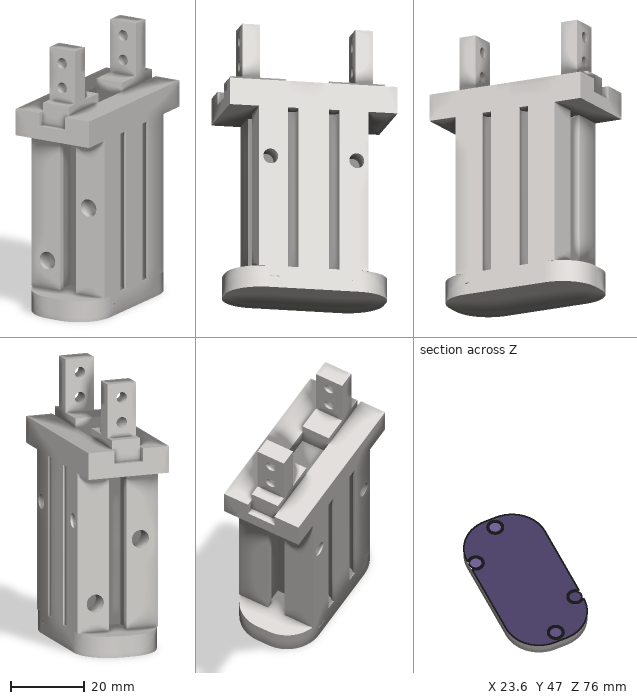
import cadquery as cq


plate_width = 23.6
plate_length = 45.0
plate_thickness = 3.0
plate_corner_radius = 10.0
plate_count = 2
base_height = plate_count * plate_thickness

screw_diameter = 2.5
screw_head_diameter = 3.7
countersink_diameter = 4.92
end_screw_y = 19.5
side_screw_x = 9.9
side_screw_y = 10.9
screw_positions = (
    (0, -end_screw_y),
    (0, end_screw_y),
    (-side_screw_x, side_screw_y),
    (side_screw_x, -side_screw_y),
)

body_width = plate_width
body_length = 30.6
body_height = 45.0
head_length = 47.0
head_height = 7.5
head_bottom = base_height + body_height
head_top = head_bottom + head_height

channel_width = 8.3
channel_depth = 3.75
channel_floor = head_top - channel_depth

t_slot_mouth_width = 5.2
t_slot_lip = 1.95
t_slot_inner_width = 6.6
t_slot_depth = 6.5

groove_y = 5.72
groove_mouth_width = 2.85
groove_radius = 2.4
groove_center_depth = 2.6

mount_hole_diameter = 4.15
mount_hole_depth = 6.0
mount_hole_y = 12.05
mount_hole_z = 37.0

port_diameter = 5.0
port_depth = 6.0
port_x = 6.6
lower_port_z = 14.0
upper_port_z = 31.0

jaw_inner_y = 6.05
jaw_length = 15.5
jaw_base_top = 61.0
finger_inner_y = 13.3
finger_thickness = 5.0
finger_top = 76.0
finger_hole_diameter = 3.0
finger_hole_heights = (65.0, 72.0)

SIDES = (-1, 1)


def box(width, length, height, x=0, y=0, z=0):
    """Block centred on x and y, with its underside at z."""
    return cq.Workplane("XY").box(width, length, height, centered=(True, True, False)).translate((x, y, z))


def upright_cylinder(diameter, height, x, y, z):
    return cq.Workplane("XY", origin=(x, y, z)).circle(diameter / 2).extrude(height)


def t_slot(side):
    """T-slot over the full body height, cut inwards from the end on the given Y side."""
    mouth_y = side * (body_length - t_slot_lip) / 2
    inner_depth = t_slot_depth - t_slot_lip
    inner_y = side * (body_length / 2 - t_slot_lip - inner_depth / 2)
    mouth = box(t_slot_mouth_width, t_slot_lip, body_height, y=mouth_y, z=base_height)
    inner = box(t_slot_inner_width, inner_depth, body_height, y=inner_y, z=base_height)
    return mouth.union(inner)


def sensor_groove(side, y):
    """Round groove with a narrower mouth, over the full body height, on the given X side."""
    mouth_x = side * (body_width - groove_center_depth) / 2
    bore_x = side * (body_width / 2 - groove_center_depth)
    mouth = box(groove_center_depth, groove_mouth_width, body_height, x=mouth_x, y=y, z=base_height)
    return mouth.union(upright_cylinder(2 * groove_radius, body_height, bore_x, y, base_height))


def mounting_hole(y):
    start = cq.Workplane("YZ", origin=(-body_width / 2, y, mount_hole_z))
    return start.circle(mount_hole_diameter / 2).extrude(mount_hole_depth)


def air_port(x, z):
    start = cq.Workplane("XZ", origin=(x, -body_length / 2, z))
    return start.circle(port_diameter / 2).extrude(-port_depth)


def make_housing():
    body = box(body_width, body_length, body_height, z=base_height)
    head = box(body_width, head_length, head_height, z=head_bottom)
    channel = box(channel_width, head_length, channel_depth, z=channel_floor)
    housing = body.union(head).cut(channel)
    for side in SIDES:
        housing = housing.cut(t_slot(side))
        housing = housing.cut(mounting_hole(side * mount_hole_y))
        for groove_side in SIDES:
            housing = housing.cut(sensor_groove(side, groove_side * groove_y))
    housing = housing.cut(air_port(-port_x, lower_port_z))
    return housing.cut(air_port(port_x, upper_port_z))


def make_plate(z):
    """Plain rounded base plate with its underside at z."""
    return box(plate_width, plate_length, plate_thickness, z=z).edges("|Z").fillet(plate_corner_radius)


def screw_shape(head_diameter, x, y):
    """Shank through the upper plate with a 90 degree countersunk head.

    A head narrower than the countersink keeps a short cylindrical rim below its cone.
    """
    shank_radius = screw_diameter / 2
    head_radius = head_diameter / 2
    rim_height = (countersink_diameter - head_diameter) / 2
    cone_height = head_radius - shank_radius
    profile = cq.Workplane("XZ", origin=(x, y, plate_thickness)).lineTo(head_radius, 0)
    if rim_height > 0:
        profile = profile.lineTo(head_radius, rim_height)
    profile = profile.lineTo(shank_radius, rim_height + cone_height).lineTo(shank_radius, plate_thickness)
    return profile.lineTo(0, plate_thickness).close().revolve(360, (0, 0, 0), (0, 1, 0))


def make_upper_plate():
    plate = make_plate(plate_thickness)
    for x, y in screw_positions:
        plate = plate.cut(screw_shape(countersink_diameter, x, y))
    return plate


def make_screw(x, y):
    return screw_shape(screw_head_diameter, x, y)


def make_jaw(side):
    """Jaw on the given Y side: a base resting in the channel and an upright drilled finger."""
    base_y = side * (jaw_inner_y + jaw_length / 2)
    finger_y = side * (finger_inner_y + finger_thickness / 2)
    base = box(channel_width, jaw_length, jaw_base_top - channel_floor, y=base_y, z=channel_floor)
    finger = box(channel_width, finger_thickness, finger_top - jaw_base_top, y=finger_y, z=jaw_base_top)
    jaw = base.union(finger)
    for height in finger_hole_heights:
        start = cq.Workplane("XZ", origin=(0, finger_y, height))
        jaw = jaw.cut(start.circle(finger_hole_diameter / 2).extrude(finger_thickness, both=True))
    return jaw


housing = make_housing()
lower_plate = make_plate(0)
upper_plate = make_upper_plate()
screws = [make_screw(x, y).val() for x, y in screw_positions]
jaws = [make_jaw(side).val() for side in SIDES]

result = cq.Compound.makeCompound([housing.val(), lower_plate.val(), upper_plate.val(), *screws, *jaws])